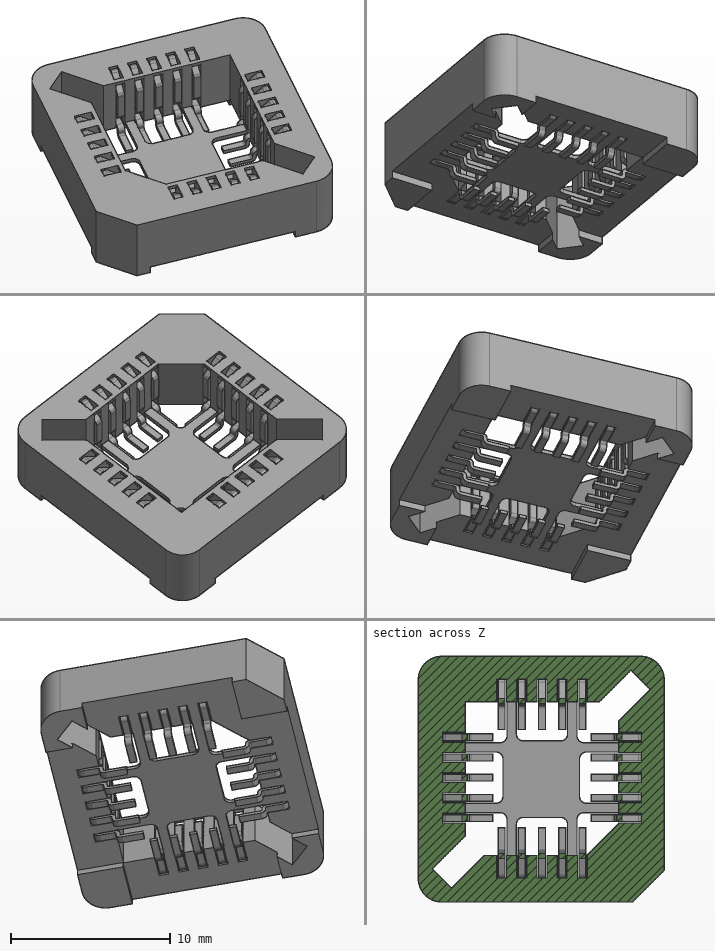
import cadquery as cq

body_x = 15.49
body_y = 15.47
body_top = 4.65
body_bottom = 0.19
corner_radius = 1.5
key_chamfer = 2.01
opening = 9.65
channel_top = 0.67
shift_x = 0.05
shift_y = 0.03
row_shift_y = 0.1
overlap = 0.15

extraction_width = 1.7
extraction_reach = 8.83

plate_thickness = 0.3
plate_half = 2.42
window_radius = 0.42

contact_count = 5
pitch = 1.27
contact_width = 0.45
contact_thickness = 0.25
foot_bend_radius = 0.23
spring_bend_radius = 0.132
base_level = 0.71
back_top = 1.2
spring_bottom = 1.64
spring_top = 3.55
tip_level = 4.48
tip_end = 4.18
tip_width = 0.2
step_inset = 0.14
spring_inset = 0.02
foot_reach = 3.08

chamber_width = 0.6
chamber_inner = 5.11
chamber_outer = 6.25
bridge_height = 0.23

bar_width = 0.6
bar_offset = 1.5 * pitch
bar_inner = bar_offset - bar_width / 2
bar_outer = bar_offset + bar_width / 2

wall = opening / 2
row_places = [(i - (contact_count - 1) / 2) * pitch for i in range(contact_count)]


def block(x0, x1, y0, y1, z0, z1):
    """Box between the given limits."""
    return cq.Workplane("XY").box(x1 - x0, y1 - y0, z1 - z0, centered=False).translate((x0, y0, z0))


def centred_block(size_x, size_y, z0, z1):
    """Box centred on the Z axis."""
    return block(-size_x / 2, size_x / 2, -size_y / 2, size_y / 2, z0, z1)


def make_body():
    """Frame with its chip opening, key corner, extraction slots and underside channels."""
    body = centred_block(body_x, body_y, body_bottom, body_top)
    body = body.edges("|Z").edges(">X and <Y").chamfer(key_chamfer)
    body = body.edges("|Z").edges("<X or (>X and >Y)").fillet(corner_radius)

    hole = centred_block(opening, opening, 0, body_top + overlap)
    hole = hole.edges("|Z").edges(">X and <Y").chamfer(key_chamfer)
    extraction = centred_block(2 * extraction_reach, extraction_width, 0, body_top + overlap)
    body = body.cut(hole.translate((shift_x, shift_y, 0)))
    body = body.cut(extraction.rotate((0, 0, 0), (0, 0, 1), 45))

    body = body.cut(centred_block(opening, 2 * body_y, 0, channel_top))
    return body.cut(centred_block(2 * body_x, opening, 0, channel_top))


def make_plate():
    """Floor plate: a square sheet with side and corner windows that leave the bars."""
    z0 = channel_top
    z1 = channel_top + plate_thickness
    far = wall + overlap
    plate = centred_block(opening, opening, z0, z1).translate((shift_x, shift_y, 0))
    side_window = block(plate_half, far, -bar_inner, bar_inner, z0, z1)
    side_window = side_window.edges("|Z and <X").fillet(window_radius)
    corner_window = block(bar_outer, far, bar_outer, far, z0, z1)
    corner_window = corner_window.edges("|Z").edges("<X and <Y").fillet(window_radius)
    for turn in range(4):
        side_shift = (0, row_shift_y, 0) if turn % 2 == 0 else (shift_x, 0, 0)
        side = side_window.rotate((0, 0, 0), (0, 0, 1), 90 * turn)
        corner = corner_window.rotate((0, 0, 0), (0, 0, 1), 90 * turn)
        plate = plate.cut(side.translate(side_shift))
        plate = plate.cut(corner.translate((shift_x, row_shift_y, 0)))
    return plate


def make_chamber():
    """Cutting tool of one chamber on the +X side."""
    half = chamber_width / 2
    shaft = block(chamber_inner, chamber_outer, -half, half, 0, body_top + overlap)
    groove = block(wall - overlap, chamber_inner, -half, half, 0, body_top - bridge_height)
    return shaft.union(groove)


def make_contact():
    """Bent strip on the +X side: foot, step, base, back leg, bulging spring and tip."""
    half = contact_thickness / 2
    step = wall - step_inset
    back = chamber_outer - half
    spring = wall - spring_inset
    tip = back - tip_width
    points = [
        (foot_reach, half),
        (step, half),
        (step, base_level),
        (back, base_level),
        (back, back_top),
        (spring, spring_bottom),
        (spring, spring_top),
        (tip, tip_level),
        (back, tip_level),
        (back, tip_end),
    ]
    wire = cq.Wire.makePolygon([cq.Vector(x, 0, z) for x, z in points])
    wire = wire.fillet(spring_bend_radius, wire.Vertices()[4:-1])
    path = wire.fillet(foot_bend_radius, wire.Vertices()[1:4])
    start = cq.Workplane("YZ", origin=(foot_reach, 0, half))
    return start.rect(contact_width, contact_thickness).sweep(cq.Workplane(path))


def around(shape):
    """Copies of a +X side shape at every contact place on all four sides."""
    copies = []
    for turn in range(4):
        row_y = row_shift_y if turn % 2 == 0 else shift_y
        for place in row_places:
            turned = shape.translate((0, place, 0)).rotate((0, 0, 0), (0, 0, 1), 90 * turn)
            copies.append(turned.translate((shift_x, row_y, 0)))
    return copies


result = make_body().union(make_plate())
for chamber in around(make_chamber()):
    result = result.cut(chamber)
for contact in around(make_contact()):
    result = result.union(contact)